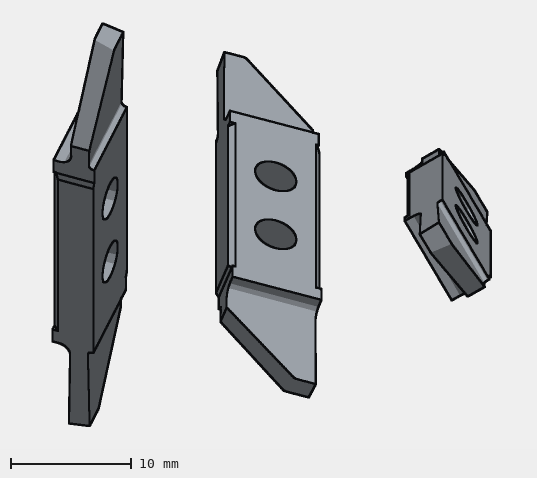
import cadquery as cq
import math

length = 40.0
width = 8.0
thickness = 3.6
half_length = length / 2
half_width = width / 2
back_x = -thickness / 2
front_x = thickness / 2

root_back_x = back_x + 1.55
root_front_x = back_x + 3.1
tip_back_x = back_x + 1.45
tip_front_x = back_x + 3.3
tip_bevel_drop = 0.35
back_shoulder_z = 10.7
front_shoulder_z = 10.8
back_root_radius = 1.0
front_root_radius = 0.4

narrow_side_inset = 0.25
slope_low_z = 12.95
slope_angle = 50.0
slope_corner_radius = 0.4

middle_half_length = 9.3
side_ramp_height = 0.5
edge_chamfer = 0.5
hole_diameter = 3.6
hole_spacing = 7.5


def half_turn(shape):
    return shape.rotate((0, 0, 0), (1, 0, 0), 180)


def make_thickness_profile():
    """Upper half of the X-Z section, extruded over the full width."""
    half = (
        cq.Workplane("XZ")
        .moveTo(back_x, 0)
        .lineTo(back_x, back_shoulder_z)
        .lineTo(root_back_x, back_shoulder_z)
        .lineTo(tip_back_x, half_length)
        .lineTo(tip_front_x, half_length - tip_bevel_drop)
        .lineTo(root_front_x, front_shoulder_z)
        .lineTo(front_x, front_shoulder_z)
        .lineTo(front_x, 0)
        .close()
        .extrude(half_width, both=True)
    )
    root_tolerance = 0.05
    for root_x, root_z, radius in (
        (root_back_x, back_shoulder_z, back_root_radius),
        (root_front_x, front_shoulder_z, front_root_radius),
    ):
        root_edge = cq.selectors.BoxSelector(
            (root_x - root_tolerance, -root_tolerance, root_z - root_tolerance),
            (root_x + root_tolerance, root_tolerance, root_z + root_tolerance),
        )
        half = half.edges(root_edge).fillet(radius)
    return half


def make_blade_outline():
    """Upper half of the Y-Z outline, extruded through the thickness."""
    narrow_y = -half_width + narrow_side_inset
    slope_top_y = narrow_y + (half_length - slope_low_z) / math.tan(math.radians(slope_angle))
    return (
        cq.Workplane("YZ", origin=(back_x, 0, 0))
        .moveTo(half_width, 0)
        .lineTo(half_width, half_length)
        .lineTo(slope_top_y, half_length)
        .lineTo(narrow_y, slope_low_z)
        .lineTo(narrow_y, middle_half_length)
        .lineTo(-half_width, middle_half_length - side_ramp_height)
        .lineTo(-half_width, 0)
        .close()
        .extrude(thickness)
    )


def round_slope_corner(half):
    """Round the edge between the bevelled tip and the sloping edge."""
    corner_edge = half.faces(">Z").edges("<Y")
    return half.newObject(corner_edge.vals()).fillet(slope_corner_radius)


def make_edge_chamfer(side):
    """Triangular bar that bevels one long back edge of the middle section."""
    side_y = side * half_width
    return (
        cq.Workplane("XY", origin=(0, 0, -middle_half_length))
        .moveTo(back_x, side_y)
        .lineTo(back_x + edge_chamfer, side_y)
        .lineTo(back_x, side_y - side * edge_chamfer)
        .close()
        .extrude(2 * middle_half_length)
    )


upper_half = round_slope_corner(make_thickness_profile().intersect(make_blade_outline()))
body = upper_half.union(half_turn(upper_half)).clean()

for side in (-1, 1):
    body = body.cut(make_edge_chamfer(side))

holes = (
    cq.Workplane("YZ", origin=(back_x, 0, 0))
    .pushPoints([(0, -hole_spacing / 2), (0, hole_spacing / 2)])
    .circle(hole_diameter / 2)
    .extrude(thickness)
)
result = body.cut(holes)